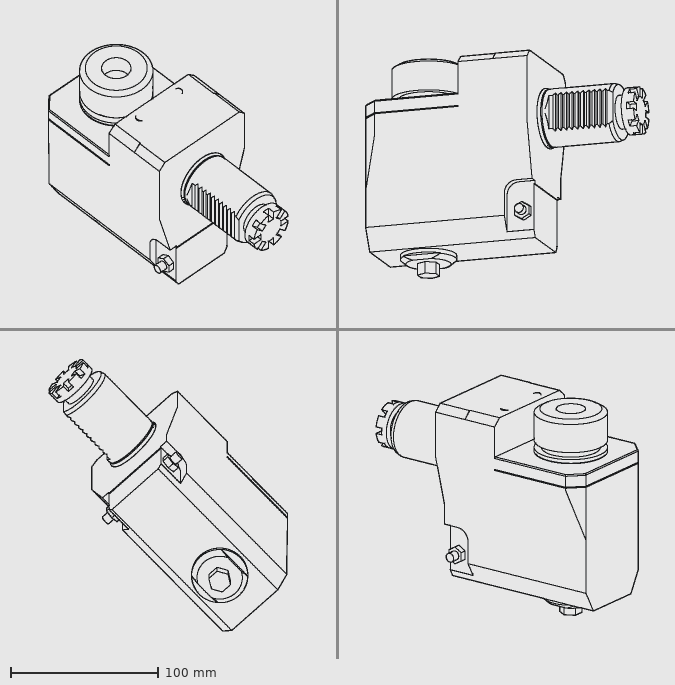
import cadquery as cq
import math

OVERLAP = 1.0
HEX_TURN = 30

total_length = 188
total_height = 146.9

body_length = 119.8
body_width = 80.0
body_half_width = body_width / 2
body_top = 39.7
body_bottom = -88.8
tower_length = 49.8
tower_rear_length = 24.8
bevel_height = 5.0
bevel_rear = 5.0
bevel_front = 5.6
corner_chamfer = 10.0
waist_half_width = 29.9
flank_drop = 37.2
front_flank_top = -11.8
back_flank_top = 1.9
keel_top = -73.5
keel_half_width = 21.5
rear_relief_depth = 0.5
rear_relief_top = -51.5

plate_top = 12.8
plate_bottom = 3.2
plate_edge_width = 1.0
plate_edge_height = 0.8
seam_height = 0.5
seam_depth = 0.4

spindle_x = -84.8
nut_top = 43.8
nut_bottom = 21.0
nut_radius = 25.0
nut_chamfer_width = 4.0
nut_chamfer_height = 2.5
neck_radius = 20.1
flange_top = 16.0
flange_bottom = 13.2
seat_radius = 24.3
bore_radius = 10.0
bore_depth = 12.5

collar_radius = 19.2
collar_bottom = -95.0
collar_chamfer_width = 3.8
collar_chamfer_height = 3.2
collar_flat_top = -91.4
collar_flat_half = 14.0
hex_across_flats = 13.4
hex_bottom = nut_top - total_height

pocket_width = 20.0
pocket_top = -49.3
pocket_bottom = -83.7
pocket_radius = 8.7
pocket_floor = 24.0
screw_x = -7.9
screw_z = -70.5
screw_radius = 3.2
screw_end = 34.5
screw_nut_flats = 10.5
screw_nut_height = 4.5

ring_radius = 20.7
ring_length = 2.6
undercut_radius = 19.5
undercut_end = 3.5
shank_radius = 20.0
shank_length = 53.5
shank_chamfer_length = 2.8
shank_chamfer_depth = 1.0
flat_start = 7.3
flat_distance = 16.2
flat_round = 1.9
groove_count = 10
groove_depth = 1.41
first_groove_x = 11.7
last_groove_x = 47.8
groove_pitch = (last_groove_x - first_groove_x) / (groove_count - 1)

stem_radius = 11.7
head_radius = 16.2
head_start = 59.5
head_end = total_length - body_length
slot_count = 8
slot_width = 4.7
slot_length = 4.9
slot_floor_radius = 9.4

nozzle_radius = 3.4
nozzle_length = 5.6
nozzle_tilt = 17
nozzle_x = -42.5
nozzle_y = 17.5
nozzle_drop = 0.4


def x_cylinder(radius, start, end):
    return cq.Workplane("YZ").workplane(offset=start).circle(radius).extrude(end - start)


def spindle_cylinder(radius, bottom, top):
    plane = cq.Workplane("XY", origin=(spindle_x, 0, bottom))
    return plane.circle(radius).extrude(top - bottom)


def housing_section(start, end, bevel_width):
    """Full-height housing slice between two X positions."""
    outline = [
        (-body_half_width + bevel_width, body_top),
        (-body_half_width, body_top - bevel_height),
        (-body_half_width, front_flank_top),
        (-waist_half_width, front_flank_top - flank_drop),
        (-waist_half_width, keel_top),
        (-keel_half_width, body_bottom),
        (keel_half_width, body_bottom),
        (waist_half_width, keel_top),
        (waist_half_width, back_flank_top - flank_drop),
        (body_half_width, back_flank_top),
        (body_half_width, body_top - bevel_height),
        (body_half_width - bevel_width, body_top),
    ]
    plane = cq.Workplane("YZ").workplane(offset=start)
    return plane.polyline(outline).close().extrude(end - start)


def plan_outline(inset, bottom, top):
    """Plan of the housing with chamfered front corners, shrunk by an inset."""
    width = body_width - 2 * inset
    block = cq.Workplane("XY").box(
        body_length - inset, width, top - bottom, centered=(False, True, False)
    )
    block = block.translate((inset - body_length, 0, bottom))
    return block.edges("|Z and <X").chamfer(corner_chamfer)


def make_housing():
    front = housing_section(-body_length, -tower_rear_length, bevel_front)
    rear = housing_section(-tower_rear_length, 0, bevel_rear)
    body = front.union(rear).intersect(plan_outline(0, body_bottom, body_top))

    front_length = body_length - tower_length
    step = cq.Workplane("XY").box(
        front_length, body_width, body_top - plate_bottom, centered=(False, True, False)
    )
    body = body.cut(step.translate((-body_length, 0, plate_bottom)))

    seam_top = plate_bottom + seam_height
    seam = plan_outline(seam_depth, plate_bottom, seam_top)
    plate = plan_outline(0, seam_top, plate_top)
    plate = plate.faces(">Z").edges().chamfer(plate_edge_height, plate_edge_width)
    behind_step = cq.Workplane("XY").box(
        tower_length, body_width, body_top, centered=(False, True, False)
    )
    cover = seam.union(plate).cut(behind_step.translate((-tower_length, 0, 0)))
    body = body.union(cover)

    relief = cq.Workplane("XY").box(
        rear_relief_depth, body_width, rear_relief_top - body_bottom,
        centered=(False, True, False),
    )
    return body.cut(relief.translate((-rear_relief_depth, 0, body_bottom)))


def make_spindle_nose():
    nut = spindle_cylinder(nut_radius, nut_bottom, nut_top)
    nut = nut.faces(">Z").edges().chamfer(nut_chamfer_height, nut_chamfer_width)
    neck = spindle_cylinder(neck_radius, flange_bottom, nut_bottom + OVERLAP)
    flange = spindle_cylinder(nut_radius, flange_bottom, flange_top)
    seat = spindle_cylinder(seat_radius, plate_top - OVERLAP, flange_bottom)
    bore = spindle_cylinder(bore_radius, nut_top - bore_depth, nut_top)
    return nut.union(neck).union(flange).union(seat).cut(bore)


def make_bottom_drive():
    collar = spindle_cylinder(collar_radius, collar_bottom, body_bottom + OVERLAP)
    collar = collar.faces("<Z").edges().chamfer(collar_chamfer_height, collar_chamfer_width)
    flat_height = collar_flat_top - collar_bottom
    for side in (-1, 1):
        flat = cq.Workplane("XY").box(2 * collar_radius, collar_radius, flat_height)
        flat_y = side * (collar_flat_half + collar_radius / 2)
        collar = collar.cut(flat.translate((spindle_x, flat_y, collar_bottom + flat_height / 2)))

    hex_diameter = hex_across_flats / math.cos(math.pi / 6)
    hexagon = cq.Workplane("XY").polygon(6, hex_diameter).extrude(collar_bottom + OVERLAP - hex_bottom)
    hexagon = hexagon.rotate((0, 0, 0), (0, 0, 1), HEX_TURN)
    return collar.union(hexagon.translate((spindle_x, 0, hex_bottom)))


def make_pocket():
    """Cutter for the pocket on the -Y side."""
    height = pocket_top - pocket_bottom
    depth = body_half_width - pocket_floor
    block = cq.Workplane("XY").box(pocket_width, depth, height, centered=False)
    block = block.edges("|Y and <X and >Z").fillet(pocket_radius)
    return block.translate((-pocket_width, -body_half_width, pocket_bottom))


def make_screw():
    """Clamping screw and nut standing on the floor of the -Y pocket."""
    plane = cq.Workplane("XZ", origin=(screw_x, OVERLAP - pocket_floor, screw_z))
    pin = plane.circle(screw_radius).extrude(screw_end - pocket_floor + OVERLAP)
    nut_diameter = screw_nut_flats / math.cos(math.pi / 6)
    nut = plane.transformed(rotate=(0, 0, HEX_TURN)).polygon(6, nut_diameter)
    return pin.union(nut.extrude(screw_nut_height + OVERLAP))


def make_shank():
    section_radius = ring_length / 2
    ring = cq.Workplane(cq.Solid.makeTorus(
        ring_radius - section_radius, section_radius,
        cq.Vector(section_radius, 0, 0), cq.Vector(1, 0, 0),
    ))
    undercut = x_cylinder(undercut_radius, -OVERLAP, undercut_end + OVERLAP)
    shank = x_cylinder(shank_radius, undercut_end, shank_length)
    shank = shank.faces(">X").edges().chamfer(shank_chamfer_length, shank_chamfer_depth)

    flat = (
        cq.Workplane("XY").workplane(offset=-shank_radius)
        .moveTo(flat_start, -flat_distance)
        .lineTo(flat_start, flat_round - shank_radius)
        .radiusArc((flat_start - flat_round, -shank_radius), flat_round)
        .lineTo(shank_length, -shank_radius)
        .lineTo(shank_length, -flat_distance)
        .close().extrude(2 * shank_radius)
    )
    shank = shank.cut(flat)

    groove = (
        cq.Workplane("XY").workplane(offset=-shank_radius)
        .polyline([
            (-groove_depth, -flat_distance),
            (0, groove_depth - flat_distance),
            (groove_depth, -flat_distance),
        ])
        .close().extrude(2 * shank_radius)
    )
    for index in range(groove_count):
        shank = shank.cut(groove.translate((first_groove_x + index * groove_pitch, 0, 0)))
    return shank.union(undercut).union(ring)


def make_coupling():
    stem = x_cylinder(stem_radius, shank_length - OVERLAP, head_start + OVERLAP)
    head = x_cylinder(head_radius, head_start, head_end)
    slot = cq.Workplane("XY").box(
        slot_length, slot_width, head_radius, centered=(False, True, False)
    ).translate((head_end - slot_length, 0, slot_floor_radius))
    for index in range(slot_count):
        head = head.cut(slot.rotate((0, 0, 0), (1, 0, 0), index * 360 / slot_count))
    return stem.union(head)


def make_nozzle():
    """Nozzle on the +Y side, leaning toward the middle plane."""
    nozzle = cq.Workplane("XY").circle(nozzle_radius).extrude(-nozzle_length)
    nozzle = nozzle.rotate((0, 0, 0), (1, 0, 0), nozzle_tilt)
    return nozzle.translate((nozzle_x, nozzle_y, body_top - nozzle_drop))


def both_sides(shape):
    return shape.union(shape.mirror("XZ"))


result = (
    make_housing()
    .cut(both_sides(make_pocket()))
    .union(both_sides(make_screw()))
    .union(make_spindle_nose())
    .union(make_bottom_drive())
    .union(make_shank())
    .union(make_coupling())
    .union(both_sides(make_nozzle()))
)